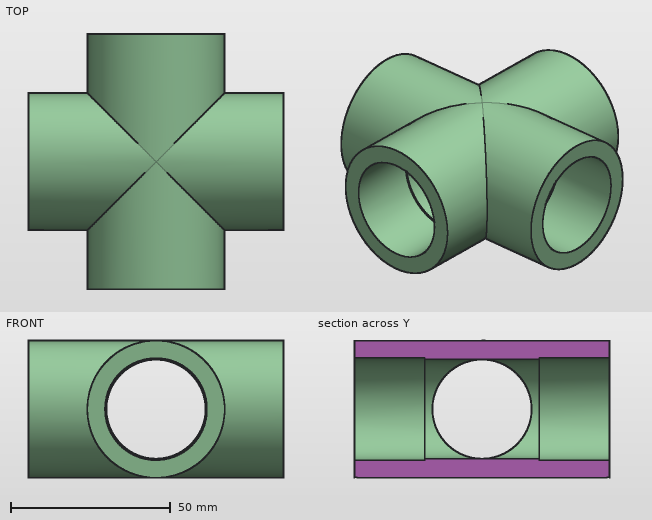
import cadquery as cq

length = 80.0
outer_diameter = 43.0
mouth_diameter = 32.0
inner_diameter = 31.0
socket_depth = 22.0


def along_both_axes(profile):
    """Revolve an (axial, radial) profile about X, and join it with a copy turned onto Y."""
    run = cq.Workplane("XY").polyline(profile).close().revolve(360, (0, 0, 0), (1, 0, 0))
    return run.union(run.rotate((0, 0, 0), (0, 0, 1), 90))


half_length = length / 2
outer_radius = outer_diameter / 2
mouth_radius = mouth_diameter / 2
inner_radius = inner_diameter / 2
socket_end = half_length - socket_depth

body = along_both_axes([
    (-half_length, 0),
    (-half_length, outer_radius),
    (half_length, outer_radius),
    (half_length, 0),
])

bore = along_both_axes([
    (-half_length, 0),
    (-half_length, mouth_radius),
    (-socket_end, mouth_radius),
    (-socket_end, inner_radius),
    (socket_end, inner_radius),
    (socket_end, mouth_radius),
    (half_length, mouth_radius),
    (half_length, 0),
])

result = body.cut(bore)